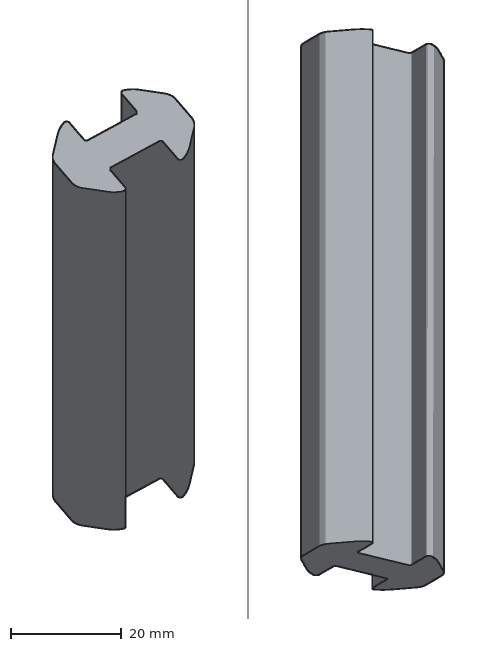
import cadquery as cq

length = 100.0
bar_depth = 26.3
blank_width = 19.8

web_thickness = 7.5
slot_width = 11.5
slot_depth = (blank_width - web_thickness) / 2

corner_chamfer = 6.1
flat_edge_radius = 3.0
side_edge_radius = 6.7

slot_root_radius = 0.5
slot_lip_radius = 0.6

tolerance = 1e-3


def chamfered_bar():
    """Rectangular bar with 45 degree corners and rounded edges beside each slanted face."""
    bar = cq.Workplane("XY").rect(blank_width, bar_depth).extrude(length)
    bar = bar.edges("|Z").chamfer(corner_chamfer)
    bar = bar.faces("<Y or >Y").edges("|Z").fillet(flat_edge_radius)
    return bar.faces("<X or >X").edges("|Z").fillet(side_edge_radius)


def side_slots():
    """Two full-length slots, one in each side, leaving the web between them."""
    slot_offset = (web_thickness + slot_depth) / 2
    slots = cq.Workplane("XY").pushPoints([(-slot_offset, 0), (slot_offset, 0)])
    return slots.rect(slot_depth, slot_width).extrude(length)


def is_slot_root(edge):
    """True for a long edge where a slot wall meets the web."""
    center = edge.Center()
    on_slot_wall = abs(abs(center.y) - slot_width / 2) < tolerance
    on_web = abs(abs(center.x) - web_thickness / 2) < tolerance
    return on_slot_wall and on_web


def is_slot_lip(edge):
    """True for a long edge where a slot wall meets the outside of the bar."""
    center = edge.Center()
    on_slot_wall = abs(abs(center.y) - slot_width / 2) < tolerance
    beyond_slot_middle = abs(center.x) > (web_thickness + slot_depth) / 2
    return on_slot_wall and beyond_slot_middle


bar = chamfered_bar().cut(side_slots())
bar = bar.edges("|Z").filter(is_slot_root).fillet(slot_root_radius)
result = bar.edges("|Z").filter(is_slot_lip).fillet(slot_lip_radius)